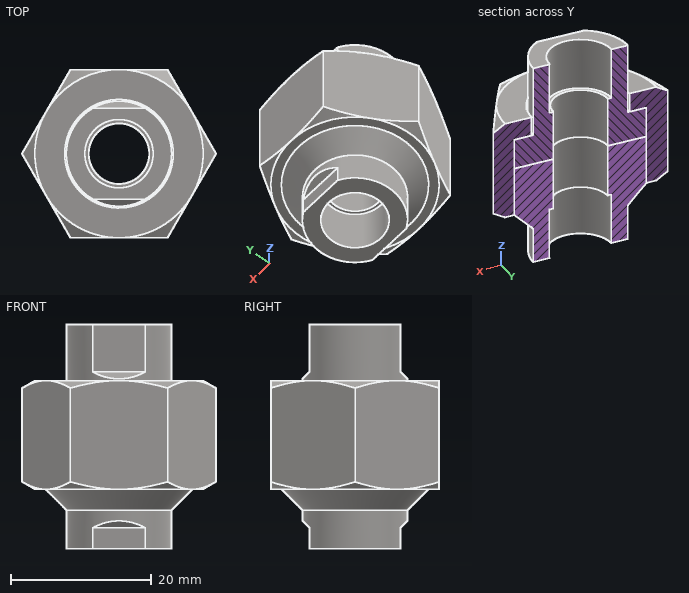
import cadquery as cq
import math


total_height = 32.0
nut_bottom = 8.5
nut_top = 24.0
lip_thickness = 3.0
joint_height = (nut_bottom + nut_top) / 2
lip_bottom = nut_top - lip_thickness

tail_diameter = 15.0
bore_diameter = 8.6
socket_diameter = 9.75
socket_depth = 8.0
thread_diameter = 21.0
nut_opening_diameter = 15.5

cone_height = (thread_diameter - tail_diameter) / 2
cone_bottom = nut_bottom - cone_height

across_flats = 24.0
across_corners = across_flats / math.cos(math.radians(30))
corner_chamfer_angle = 30.0

flat_spacing = 13.0
flat_depth = (tail_diameter - flat_spacing) / 2
lower_flat_length = 3.0
upper_flat_length = 6.75


def cylinder(diameter, bottom, top):
    """Round bar on the union axis."""
    return cq.Workplane("XY").workplane(offset=bottom).circle(diameter / 2).extrude(top - bottom)


def wrench_flat_cut(end_height, inward, length):
    """Material beside both flats at a tail end; inward is +1 or -1 along Z."""
    inner = flat_spacing / 2
    outer = tail_diameter / 2
    flat_end = end_height + inward * length
    slope_end = flat_end + inward * flat_depth
    profile = [(inner, end_height), (outer, end_height), (outer, slope_end), (inner, flat_end)]
    one_side = cq.Workplane("YZ").polyline(profile).close().extrude(tail_diameter / 2, both=True)
    return one_side.union(one_side.mirror("XZ"))


def make_lower_tail():
    """Tail that widens through a cone into the threaded part inside the nut."""
    tail_radius = tail_diameter / 2
    thread_radius = thread_diameter / 2
    profile = [
        (0, 0),
        (tail_radius, 0),
        (tail_radius, cone_bottom),
        (thread_radius, nut_bottom),
        (thread_radius, joint_height),
        (0, joint_height),
    ]
    body = cq.Workplane("XZ").polyline(profile).close().revolve(360, (0, 0), (0, 1))
    body = body.cut(cylinder(bore_diameter, 0, joint_height))
    body = body.cut(cylinder(socket_diameter, 0, socket_depth))
    return body.cut(wrench_flat_cut(0, 1, lower_flat_length))


def make_upper_tail():
    """Tail with a collar held between the lower tail and the nut lip."""
    body = cylinder(tail_diameter, joint_height, total_height)
    body = body.union(cylinder(thread_diameter, joint_height, lip_bottom))
    body = body.cut(cylinder(bore_diameter, joint_height, total_height))
    body = body.cut(cylinder(socket_diameter, total_height - socket_depth, total_height))
    return body.cut(wrench_flat_cut(total_height, -1, upper_flat_length))


def corner_chamfer_envelope():
    """Turned shape that trims the hexagon corners at both nut faces."""
    face_radius = across_flats / 2
    corner_radius = across_corners / 2
    drop = (corner_radius - face_radius) * math.tan(math.radians(corner_chamfer_angle))
    profile = [
        (0, nut_bottom),
        (face_radius, nut_bottom),
        (corner_radius, nut_bottom + drop),
        (corner_radius, nut_top - drop),
        (face_radius, nut_top),
        (0, nut_top),
    ]
    return cq.Workplane("XZ").polyline(profile).close().revolve(360, (0, 0), (0, 1))


def make_nut():
    """Hexagonal nut with corners on the X axis and an inner lip at the top."""
    hexagon = cq.Workplane("XY").workplane(offset=nut_bottom).polygon(6, across_corners)
    body = hexagon.extrude(nut_top - nut_bottom).intersect(corner_chamfer_envelope())
    body = body.cut(cylinder(thread_diameter, nut_bottom, lip_bottom))
    return body.cut(cylinder(nut_opening_diameter, lip_bottom, nut_top))


lower_tail = make_lower_tail()
upper_tail = make_upper_tail()
nut = make_nut()

result = cq.Compound.makeCompound([lower_tail.val(), upper_tail.val(), nut.val()])